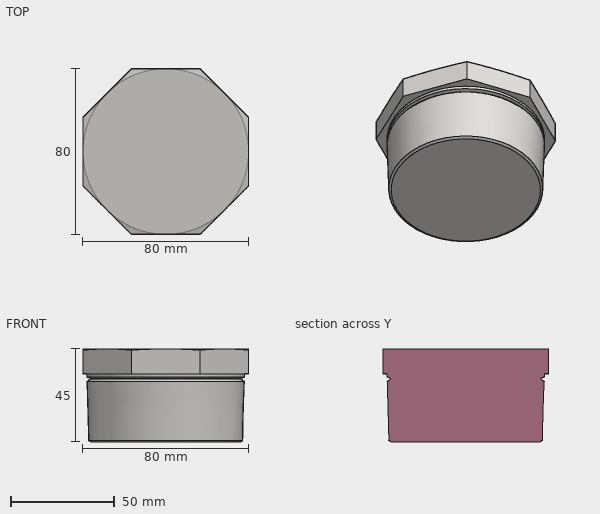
import cadquery as cq
import math

side_count = 8
across_flats = 80.0
head_height = 12.0
total_height = 45.0
corner_chamfer_angle = 10.0

collar_radius = 38.1
collar_height = 1.6
groove_radius = 36.4
groove_top_drop = 2.2
groove_bottom_drop = 2.6
taper_top_radius = 38.0
taper_top_drop = 3.6
taper_bottom_radius = 37.2
end_chamfer_height = 0.8
end_chamfer_width = 1.2

head_bottom = total_height - head_height
flat_radius = across_flats / 2
half_side_angle = 180 / side_count
across_corners = across_flats / math.cos(math.radians(half_side_angle))


def turn(profile):
    """Revolve a closed (x, z) profile about the Z axis."""
    return cq.Workplane("XZ").polyline(profile).close().revolve(360, (0, 0, 0), (0, 1, 0))


def make_head():
    """Octagon with its top corners cut by a shallow cone touching the flats."""
    octagon = (
        cq.Workplane("XY", origin=(0, 0, head_bottom))
        .transformed(rotate=(0, 0, half_side_angle))
        .polygon(side_count, across_corners)
        .extrude(head_height)
    )
    cone_radius = across_flats
    cone_drop = (cone_radius - flat_radius) * math.tan(math.radians(corner_chamfer_angle))
    cone = turn([
        (0, 0),
        (cone_radius, 0),
        (cone_radius, total_height - cone_drop),
        (flat_radius, total_height),
        (0, total_height),
    ])
    return octagon.intersect(cone)


def make_body():
    """Collar, relief groove and tapered plug turned as one profile, seam on -X."""
    radius_and_height = [
        (0, 0),
        (taper_bottom_radius - end_chamfer_width, 0),
        (taper_bottom_radius, end_chamfer_height),
        (taper_top_radius, head_bottom - taper_top_drop),
        (groove_radius, head_bottom - groove_bottom_drop),
        (groove_radius, head_bottom - groove_top_drop),
        (collar_radius, head_bottom - collar_height),
        (collar_radius, head_bottom),
        (0, head_bottom),
    ]
    return turn([(-radius, height) for radius, height in radius_and_height])


result = make_head().union(make_body())